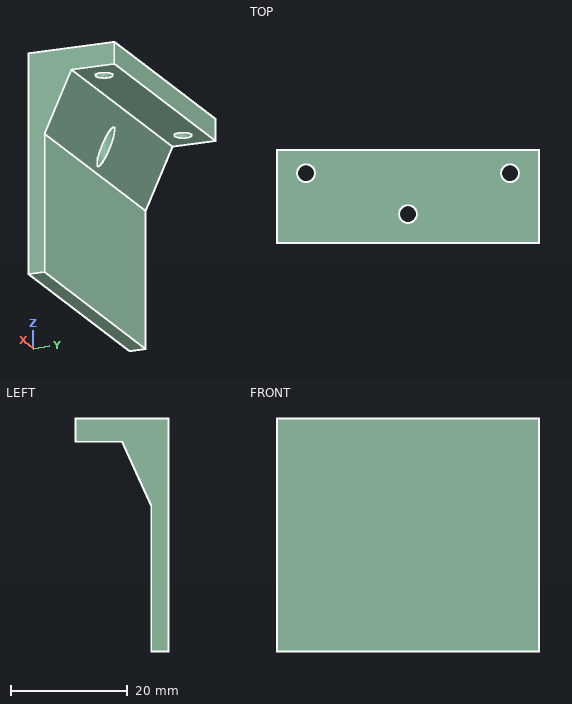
import cadquery as cq

width = 45.0
depth = 16.0
height = 40.0

flange_thickness = 4.0
wall_thickness = 3.0
gusset_depth = 8.0
gusset_bottom_drop = 15.0

hole_diameter = 3.0
side_hole_inset = 5.0
rear_hole_inset = 4.0
front_hole_inset = 5.0

profile = [
    (0, 0),
    (wall_thickness, 0),
    (wall_thickness, height - gusset_bottom_drop),
    (gusset_depth, height - flange_thickness),
    (depth, height - flange_thickness),
    (depth, height),
    (0, height),
]
bracket = cq.Workplane("YZ").polyline(profile).close().extrude(width / 2, both=True)

side_hole_x = width / 2 - side_hole_inset
rear_hole_y = depth - rear_hole_inset
hole_centers = [
    (-side_hole_x, rear_hole_y),
    (side_hole_x, rear_hole_y),
    (0, front_hole_inset),
]
holes = cq.Workplane("XY").pushPoints(hole_centers).circle(hole_diameter / 2).extrude(height)

result = bracket.cut(holes)